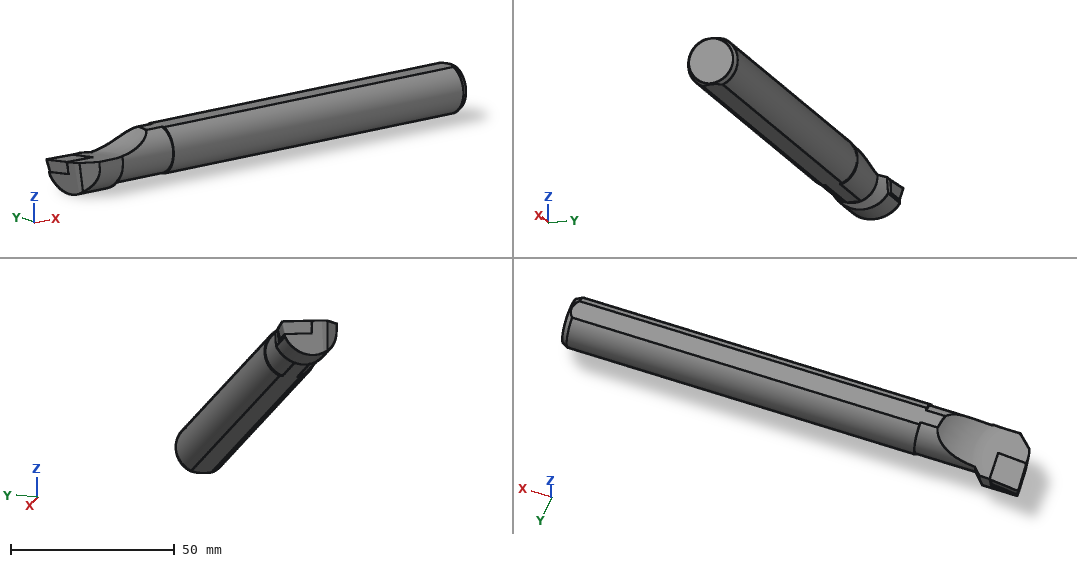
import cadquery as cq
import math

length = 150.0
shank_diameter = 16.0
shank_radius = shank_diameter / 2
shank_start = 35.0
flat_height = 7.4
end_bevel_length = 1.8
end_bevel_depth = 0.9
neck_radius = 7.72

head_radius = 9.5
head_center_y = 1.8
head_length = 15.3
head_side_y = 10.0
head_block_top = 3.8

tip_y = 11.1
rake_angle = 6.5
relief_angle = 8.0

insert_thickness = 3.9
tip = (-0.06, 0.0)
side_corner = (9.6, -0.9)
inner_corner = (10.2, -10.4)
front_corner = (0.8, -9.8)
insert_corner_radius = 0.6
pocket_overrun = 0.5

nose_corner = (1.0, -12.9)
nose_facet_end = (1.6, -14.7)
nose_bevel_end = (6.0, -18.8)
clearance = 30.0

scoop_center_x = 3.3
scoop_center_y = 0.6
scoop_disc_radius = 11.4
scoop_rim_radius = 20.2
scoop_rim_angle = math.radians(60)


def rake_plane():
    """Plane of the top face, falling toward the tip."""
    plane = cq.Plane(origin=(0, tip_y, 0))
    return plane.rotated((-rake_angle, 0, 0))


def extended(start, end):
    """Point past `end` on the line from `start`."""
    return tuple(e + pocket_overrun * (e - s) for s, e in zip(start, end))


def tapered_prism(points, depth):
    """Prism below the top face, narrowing downward by the relief angle."""
    return cq.Workplane(rake_plane()).polyline(points).close().extrude(-depth, taper=relief_angle)


def make_insert():
    insert = tapered_prism([tip, side_corner, inner_corner, front_corner], insert_thickness)
    corner_edges = insert.faces("<X").edges("<Y or >Y")
    return corner_edges.fillet(insert_corner_radius)


def make_pocket():
    """Insert seat, open toward +Y."""
    open_front = extended(front_corner, tip)
    open_side = extended(inner_corner, side_corner)
    return tapered_prism([open_front, open_side, inner_corner, front_corner], insert_thickness)


def make_shank():
    shank = cq.Workplane("YZ").workplane(offset=shank_start).circle(shank_radius)
    shank = shank.extrude(length - shank_start)
    shank = shank.faces(">X").edges().chamfer(end_bevel_length, end_bevel_depth)
    neck = cq.Workplane("YZ").workplane(offset=head_length).circle(neck_radius)
    neck = neck.extrude(shank_start - head_length)
    between_flats = cq.Workplane("XY").box(2 * length, 2 * shank_diameter, 2 * flat_height)
    return shank.union(neck).intersect(between_flats)


def make_nose_envelope():
    """Relieved front faces of the head; the other sides lie clear of it."""
    slope = front_corner[0] / front_corner[1]
    outer = (slope * clearance, clearance)
    bevel_slope = (nose_bevel_end[0] - nose_facet_end[0]) / (nose_bevel_end[1] - nose_facet_end[1])
    bevel_far = (nose_bevel_end[0] - bevel_slope * clearance, nose_bevel_end[1] - clearance)
    back = 2 * clearance
    points = [outer, nose_corner, nose_facet_end, bevel_far, (back, bevel_far[1]), (back, clearance)]
    below = tapered_prism(points, clearance)
    above = cq.Workplane(rake_plane()).polyline(points).close().extrude(clearance)
    return below.union(above)


def make_back_cone():
    """Cone about the shank axis that narrows at 45 degrees to the neck."""
    cone_height = head_length + neck_radius
    return (
        cq.Workplane("XZ")
        .lineTo(cone_height, 0)
        .lineTo(0, cone_height)
        .close()
        .revolve(360, (0, 0), (1, 0))
    )


def make_head():
    """Half-round block with upright sides and a conical back."""
    left = head_center_y - head_radius
    side_drop = math.sqrt(head_radius**2 - (head_side_y - head_center_y) ** 2)
    head = (
        cq.Workplane("YZ")
        .moveTo(left, head_block_top)
        .lineTo(left, 0)
        .threePointArc((head_center_y, -head_radius), (head_side_y, -side_drop))
        .lineTo(head_side_y, head_block_top)
        .close()
        .extrude(head_length)
    )
    return head.intersect(make_back_cone()).intersect(make_nose_envelope())


def make_scoop():
    def rim_point(angle):
        radius = scoop_disc_radius + scoop_rim_radius * math.sin(angle)
        return (radius, scoop_rim_radius * (1 - math.cos(angle)))

    rim_end = rim_point(scoop_rim_angle)
    scoop = (
        cq.Workplane("XZ")
        .lineTo(scoop_disc_radius, 0)
        .threePointArc(rim_point(scoop_rim_angle / 2), rim_end)
        .lineTo(rim_end[0], clearance)
        .lineTo(0, clearance)
        .close()
        .revolve(360, (0, 0), (0, 1))
    )
    plane = rake_plane()
    local_y = (scoop_center_y - tip_y) / math.cos(math.radians(rake_angle))
    plane.origin = plane.toWorldCoords((scoop_center_x, local_y, 0))
    return cq.Workplane(obj=scoop.val().moved(cq.Location(plane)))


def make_holder():
    holder = make_shank().union(make_head())
    return holder.cut(make_scoop()).cut(make_pocket())


insert = make_insert()
holder = make_holder()

result = cq.Compound.makeCompound([holder.val(), insert.val()])